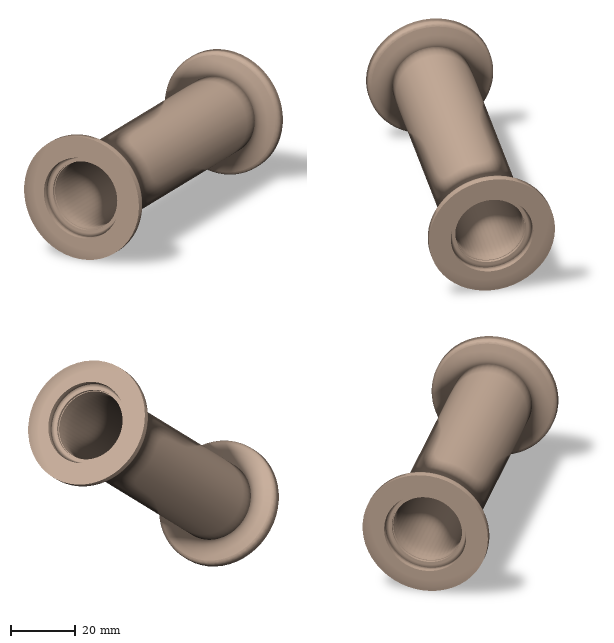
import cadquery as cq
import math

LENGTH = 100.0
HALF_LENGTH = LENGTH / 2

TUBE_RADIUS = 12.7
BORE_RADIUS = 11.0

FLANGE_RADIUS = 20.0
FLANGE_DEPTH = 5.0
CONE_ANGLE = 15.0
RIM_FILLET = 1.4
RECESS_RADIUS = 13.1
RECESS_DEPTH = 2.5
LIP_RADIUS = 11.2
LIP_THICKNESS = 1.0

SOCKET_FLOOR = RECESS_DEPTH + LIP_THICKNESS

CONE_RISE = (FLANGE_RADIUS - TUBE_RADIUS) * math.tan(math.radians(CONE_ANGLE))
RIM_DEPTH = FLANGE_DEPTH - CONE_RISE


def make_tube():
    """Plain tube whose ends sit in the flange sockets."""
    tube_length = LENGTH - 2 * SOCKET_FLOOR
    return (
        cq.Workplane("XZ", origin=(0, tube_length / 2, 0))
        .circle(TUBE_RADIUS)
        .circle(BORE_RADIUS)
        .extrude(tube_length)
    )


def make_flange():
    """Flange at the -Y end, revolved about the Y axis."""
    face = -HALF_LENGTH
    flange = (
        cq.Workplane("XY")
        .moveTo(LIP_RADIUS, face + RECESS_DEPTH)
        .lineTo(RECESS_RADIUS, face + RECESS_DEPTH)
        .lineTo(RECESS_RADIUS, face)
        .lineTo(FLANGE_RADIUS, face)
        .lineTo(FLANGE_RADIUS, face + RIM_DEPTH)
        .lineTo(TUBE_RADIUS, face + FLANGE_DEPTH)
        .lineTo(TUBE_RADIUS, face + SOCKET_FLOOR)
        .lineTo(LIP_RADIUS, face + SOCKET_FLOOR)
        .close()
        .revolve(360, (0, 0, 0), (0, 1, 0))
    )
    rim_edge = cq.selectors.RadiusNthSelector(-1)
    rounded_edge = flange.edges("%CIRCLE").edges(rim_edge).edges(">Y")
    return rounded_edge.fillet(RIM_FILLET)


tube = make_tube()
flanges = [make_flange().rotate((0, 0, 0), (0, 0, 1), angle) for angle in (0, 180)]

result = cq.Compound.makeCompound([tube.val(), *[flange.val() for flange in flanges]])